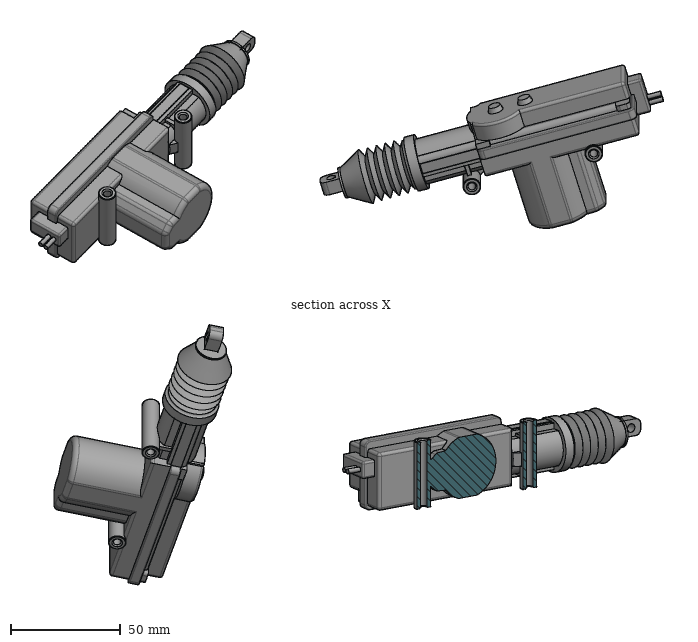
import cadquery as cq


PARTING_X = 1.3
HOUSING_FRONT = 73.1
HOUSING_TOP = 12.7
HOUSING_BOTTOM = -14.6
EDGE_FILLET = 1.5

NECK_AXIS_Z = -2.0
NECK_DIAMETER = 21.2
NECK_END = 100.6
SPIGOT_LENGTH = 4.0
BAND_HEIGHT = 11.1
BAND_ROUND = 2.7
BAND_RIGHT = 3.0
STRIP_HEIGHT = 11.5
STRIP_GAP = 0.3

FLANGE_LEFT = -3.7
FLANGE_HEIGHT = 33.0
FLANGE_HALF_HEIGHT = FLANGE_HEIGHT / 2
FLANGE_REAR = -1.3
FLANGE_CORNER = 2.7
FLANGE_EDGE = 0.5

COVER_LEFT = -14.6
COVER_RIGHT = FLANGE_LEFT - BAND_ROUND
COVER_BOTTOM = -9.3
LOBE_Y = 61.1
LOBE_Z = -1.3
LOBE_RADIUS = 13.8
LOBE_FILLET = 1.1
NOTCH_REAR = 68.5
NOTCH_FLOOR = 9.5
NOTCH_FILLET = 2.5
RECESS_REAR = 6.6
RECESS_FRONT = 66.7
RECESS_POST_ROUND = 1.8

RIVET_CENTRES = [(LOBE_Y, LOBE_Z), (47.1, -0.8)]
RIVET_BASE_DIAMETER = 7.0
RIVET_TIP_DIAMETER = 5.5
RIVET_HEIGHT = 2.4

BASE_RIGHT = 10.5

BOSS_X = 12.7
BOSS_YS = [22.5, 80.4]
BOSS_DIAMETER = 8.0
BOSS_HOLE_DIAMETER = 3.5
BOSS_HOLE_CHAMFER = 0.6
BOSS_RIM_CHAMFER = 0.3
BOSS_HALF_HEIGHT = 16.0
WEB_THICKNESS = 2.0
WEB_HALF_HEIGHT = 9.6
GUSSET_HALF_HEIGHT = 3.2

MOTOR_Y = 46.6
MOTOR_RADIUS = 15.5
MOTOR_HALF_HEIGHT = 14.6
MOTOR_END = 44.0
MOTOR_SIDE_FILLET = 2.9
MOTOR_END_FILLET = 2.5
LUMP_HALF_HEIGHT = 9.2
LUMP_ROOT_HALF = 10.3
LUMP_FACE_Y = 25.2
LUMP_FACE_HALF = 5.5
LUMP_SHOULDER_Y = 29.5

CONNECTOR_LEFT = -9.8
CONNECTOR_RIGHT = 7.0
CONNECTOR_BOTTOM = 0.8
CONNECTOR_TOP = 8.8
CONNECTOR_LENGTH = 6.5
CONNECTOR_FILLET = 1.0
WIRE_XS = [1.1, 4.0]
WIRE_Z = 4.8
WIRE_DIAMETER = 2.3
WIRE_LENGTH = 6.5

COLLAR_DIAMETER = 25.5
COLLAR_SHOULDER_DIAMETER = 23.0
COLLAR_LENGTH = 6.0
SHOULDER_TO_VALLEY = 1.6
PLEAT_COUNT = 4
PLEAT_PITCH = 4.2
PLEAT_DIAMETER = 24.8
VALLEY_DIAMETER = 17.8
CONE_LENGTH = 10.3
CONE_TIP_DIAMETER = 13.8
LIP_DIAMETER = 14.5
LIP_LENGTH = 1.0
COLLAR_FRONT = NECK_END + COLLAR_LENGTH
FIRST_VALLEY = COLLAR_FRONT + SHOULDER_TO_VALLEY
CONE_BASE = FIRST_VALLEY + (PLEAT_COUNT + 0.5) * PLEAT_PITCH
BOOT_TIP = CONE_BASE + CONE_LENGTH + LIP_LENGTH

ROD_TIP = 147.9
ROD_WIDTH = 6.5
ROD_HEIGHT = 8.0
ROD_CORNER = 2.9
ROD_EYE_DIAMETER = 4.0
ROD_EYE_SETBACK = 5.3
ROD_SEAT = 6.5


def box(x0, x1, y0, y1, z0, z1):
    return cq.Workplane("XY").box(x1 - x0, y1 - y0, z1 - z0, centered=False).translate((x0, y0, z0))


def cylinder_along_y(x, z, diameter, y0, y1):
    return cq.Workplane("XZ", origin=(x, y0, z)).circle(diameter / 2).extrude(y0 - y1)


def cylinder_along_x(y, z, diameter, x0, x1):
    return cq.Workplane("YZ", origin=(x0, y, z)).circle(diameter / 2).extrude(x1 - x0)


def raised_band(y0, y1):
    """Band above and below the neck axis, with quarter-round shoulders on the -X side."""
    band = box(COVER_RIGHT, BAND_RIGHT, y0, y1, NECK_AXIS_Z - BAND_HEIGHT, NECK_AXIS_Z + BAND_HEIGHT)
    return band.edges("|Y and <X").fillet(BAND_ROUND)


def neck():
    barrel = cylinder_along_y(0, NECK_AXIS_Z, NECK_DIAMETER, HOUSING_FRONT, NECK_END + SPIGOT_LENGTH)
    half_flat = BAND_HEIGHT - BAND_ROUND
    barrel = barrel.intersect(
        box(-NECK_DIAMETER, NECK_DIAMETER, HOUSING_FRONT, NECK_END + SPIGOT_LENGTH,
            NECK_AXIS_Z - half_flat, NECK_AXIS_Z + half_flat)
    )
    strip = box(FLANGE_LEFT, PARTING_X, HOUSING_FRONT, NECK_END - STRIP_GAP,
                NECK_AXIS_Z - STRIP_HEIGHT, NECK_AXIS_Z + STRIP_HEIGHT)
    return barrel.union(raised_band(HOUSING_FRONT, NECK_END)).union(strip)


def neck_half(x0, x1):
    return neck().intersect(box(x0, x1, HOUSING_FRONT, NECK_END + SPIGOT_LENGTH,
                                -FLANGE_HALF_HEIGHT, FLANGE_HALF_HEIGHT))


def connector():
    block = box(CONNECTOR_LEFT, CONNECTOR_RIGHT, -CONNECTOR_LENGTH, 0, CONNECTOR_BOTTOM, CONNECTOR_TOP)
    return block.edges("|Y or <Y").fillet(CONNECTOR_FILLET)


def wire(x):
    return cylinder_along_y(x, WIRE_Z, WIRE_DIAMETER, -CONNECTOR_LENGTH - WIRE_LENGTH, -CONNECTOR_LENGTH)


def flange():
    plate = box(FLANGE_LEFT, PARTING_X, FLANGE_REAR, HOUSING_FRONT, -FLANGE_HALF_HEIGHT, FLANGE_HALF_HEIGHT)
    plate = plate.edges("|X").fillet(FLANGE_CORNER)
    return plate.faces("<X or >X").edges().fillet(FLANGE_EDGE)


def inner_layer():
    """Wall between cover layer and flange, with a round-edged recess along its underside."""
    right = FLANGE_LEFT + FLANGE_EDGE
    wall = box(COVER_RIGHT, right, 0, HOUSING_FRONT, HOUSING_BOTTOM, HOUSING_TOP)
    wall = wall.edges("|X and <Y").fillet(EDGE_FILLET)
    recess = box(COVER_RIGHT, right, RECESS_REAR, RECESS_FRONT, HOUSING_BOTTOM, COVER_BOTTOM)
    wall = wall.cut(recess)
    post_round_y = RECESS_REAR - RECESS_POST_ROUND
    post_round_z = HOUSING_BOTTOM + RECESS_POST_ROUND
    corner = box(COVER_RIGHT, right, post_round_y, RECESS_REAR, HOUSING_BOTTOM, post_round_z)
    corner = corner.cut(
        cylinder_along_x(post_round_y, post_round_z, 2 * RECESS_POST_ROUND, COVER_RIGHT, right))
    return wall.cut(corner).union(raised_band(RECESS_REAR, RECESS_FRONT).intersect(recess))


def lobe():
    """Round bulge of the cover layer; only the rim below the plate is rounded."""
    disc = cylinder_along_x(LOBE_Y, LOBE_Z, 2 * LOBE_RADIUS, COVER_LEFT, COVER_RIGHT)
    split_z = COVER_BOTTOM + EDGE_FILLET
    front = LOBE_Y + 2 * LOBE_RADIUS
    lower = disc.faces("<X").edges().fillet(LOBE_FILLET).intersect(
        box(COVER_LEFT, COVER_RIGHT, 0, front, LOBE_Z - 2 * LOBE_RADIUS, split_z))
    upper = disc.intersect(box(COVER_LEFT, COVER_RIGHT, 0, front, split_z, NOTCH_FLOOR))
    return lower.union(upper)


def cover_layer():
    plate = box(COVER_LEFT, COVER_RIGHT, 0, HOUSING_FRONT, COVER_BOTTOM, HOUSING_TOP)
    plate = plate.edges("<Y or (<X and >Z) or (<X and <Z)").edges("not >X").fillet(EDGE_FILLET)
    notch = box(COVER_LEFT, COVER_RIGHT, NOTCH_REAR, HOUSING_FRONT, NOTCH_FLOOR, HOUSING_TOP)
    notch = notch.edges("|X and <Y and <Z").fillet(NOTCH_FILLET)
    return plate.cut(notch).union(lobe())


def rivet_head(y, z):
    return (
        cq.Workplane("YZ", origin=(COVER_LEFT, y, z)).circle(RIVET_BASE_DIAMETER / 2)
        .workplane(offset=-RIVET_HEIGHT).circle(RIVET_TIP_DIAMETER / 2).loft()
    )


def left_housing():
    body = flange().union(inner_layer()).union(cover_layer())
    body = body.union(neck_half(-NECK_DIAMETER, PARTING_X))
    for y, z in RIVET_CENTRES:
        body = body.union(rivet_head(y, z))
    return body.cut(connector())


def motor():
    flats = box(PARTING_X, MOTOR_END, MOTOR_Y - MOTOR_RADIUS, MOTOR_Y + MOTOR_RADIUS,
                -MOTOR_HALF_HEIGHT, MOTOR_HALF_HEIGHT)
    can = cylinder_along_x(MOTOR_Y, 0, 2 * MOTOR_RADIUS, PARTING_X, MOTOR_END).intersect(flats)
    can = can.edges("|X").fillet(MOTOR_SIDE_FILLET)
    lump = (
        cq.Workplane("YZ", origin=(PARTING_X, 0, 0))
        .polyline([(MOTOR_Y, -LUMP_ROOT_HALF), (LUMP_SHOULDER_Y, -LUMP_HALF_HEIGHT),
                   (LUMP_FACE_Y, -LUMP_FACE_HALF), (LUMP_FACE_Y, LUMP_FACE_HALF),
                   (LUMP_SHOULDER_Y, LUMP_HALF_HEIGHT), (MOTOR_Y, LUMP_ROOT_HALF)])
        .close().extrude(MOTOR_END - PARTING_X)
    )
    lump = lump.edges("|X").edges("not >Y").fillet(MOTOR_SIDE_FILLET)
    return can.union(lump).faces(">X").edges().fillet(MOTOR_END_FILLET)


def base_layer():
    block = box(PARTING_X, BASE_RIGHT, 0, HOUSING_FRONT, HOUSING_BOTTOM, HOUSING_TOP)
    return block.edges("(>X or <Y) and (not <X)").fillet(EDGE_FILLET)


def boss(y):
    return (
        cq.Workplane("XY", origin=(BOSS_X, y, -BOSS_HALF_HEIGHT))
        .circle(BOSS_DIAMETER / 2).extrude(2 * BOSS_HALF_HEIGHT)
        .faces("<Z or >Z").edges().chamfer(BOSS_RIM_CHAMFER)
    )


def boss_hole(y):
    hole = (
        cq.Workplane("XY", origin=(BOSS_X, y, -BOSS_HALF_HEIGHT))
        .circle(BOSS_HOLE_DIAMETER / 2).extrude(2 * BOSS_HALF_HEIGHT)
    )
    hole_radius = BOSS_HOLE_DIAMETER / 2
    for side in (-1, 1):
        rim = cq.Solid.makeCone(hole_radius + BOSS_HOLE_CHAMFER, hole_radius, BOSS_HOLE_CHAMFER,
                                pnt=cq.Vector(BOSS_X, y, side * BOSS_HALF_HEIGHT), dir=cq.Vector(0, 0, -side))
        hole = hole.union(cq.Workplane(rim))
    return hole


def front_boss_web():
    """Web from the neck to the front boss, and a gusset from the boss back to the housing."""
    y = max(BOSS_YS)
    bottom = NECK_AXIS_Z - WEB_HALF_HEIGHT
    top = NECK_AXIS_Z + WEB_HALF_HEIGHT
    web = box(BAND_RIGHT, BOSS_X, y - WEB_THICKNESS / 2, y + WEB_THICKNESS / 2, bottom, top)
    gusset_left = BASE_RIGHT - EDGE_FILLET
    gusset = (
        cq.Workplane("XY", origin=(0, 0, NECK_AXIS_Z - GUSSET_HALF_HEIGHT))
        .polyline([(gusset_left, HOUSING_FRONT), (BASE_RIGHT, HOUSING_FRONT),
                   (BOSS_X, y - BOSS_DIAMETER / 2), (BOSS_X, y), (gusset_left, y)])
        .close().extrude(2 * GUSSET_HALF_HEIGHT)
    )
    return web.union(gusset)


def right_housing():
    body = base_layer().union(motor()).union(neck_half(PARTING_X, NECK_DIAMETER)).union(front_boss_web())
    for y in BOSS_YS:
        body = body.union(boss(y)).cut(boss_hole(y))
    return body


def rod():
    bar = box(-ROD_WIDTH / 2, ROD_WIDTH / 2, BOOT_TIP - ROD_SEAT, ROD_TIP, -ROD_HEIGHT / 2, ROD_HEIGHT / 2)
    bar = bar.edges("|X and >Y").fillet(ROD_CORNER)
    return bar.cut(cylinder_along_x(ROD_TIP - ROD_EYE_SETBACK, 0, ROD_EYE_DIAMETER, -ROD_WIDTH, ROD_WIDTH))


def boot():
    collar_round = (COLLAR_DIAMETER - COLLAR_SHOULDER_DIAMETER) / 2
    outline = (
        cq.Workplane("XY", origin=(0, 0, NECK_AXIS_Z))
        .moveTo(0, NECK_END)
        .lineTo(COLLAR_DIAMETER / 2, NECK_END)
        .lineTo(COLLAR_DIAMETER / 2, COLLAR_FRONT - collar_round)
        .radiusArc((COLLAR_SHOULDER_DIAMETER / 2, COLLAR_FRONT), collar_round)
        .lineTo(VALLEY_DIAMETER / 2, FIRST_VALLEY)
    )
    for pleat in range(PLEAT_COUNT):
        valley_y = FIRST_VALLEY + pleat * PLEAT_PITCH
        outline = outline.lineTo(PLEAT_DIAMETER / 2, valley_y + PLEAT_PITCH / 2)
        outline = outline.lineTo(VALLEY_DIAMETER / 2, valley_y + PLEAT_PITCH)
    body = (
        outline.lineTo(COLLAR_DIAMETER / 2, CONE_BASE)
        .lineTo(CONE_TIP_DIAMETER / 2, CONE_BASE + CONE_LENGTH)
        .lineTo(LIP_DIAMETER / 2, CONE_BASE + CONE_LENGTH)
        .lineTo(LIP_DIAMETER / 2, BOOT_TIP)
        .lineTo(0, BOOT_TIP)
        .close()
        .revolve(360, (0, 0, 0), (0, 1, 0))
    )
    return body.cut(neck()).cut(rod())


wires = [wire(x) for x in WIRE_XS]

result = cq.Compound.makeCompound([
    left_housing().val(),
    right_housing().val(),
    boot().val(),
    rod().val(),
    connector().val(),
    *[strand.val() for strand in wires],
])